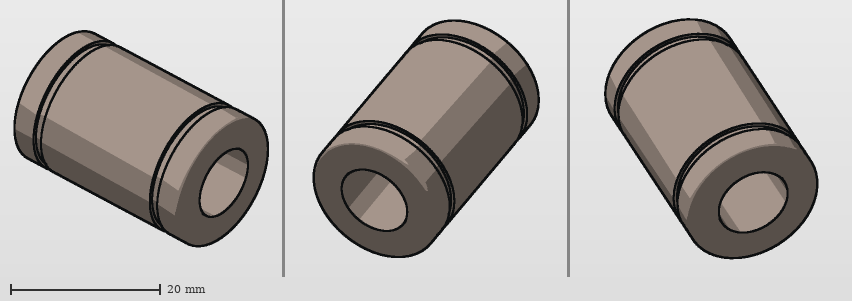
import cadquery as cq

length = 29.0
outer_diameter = 19.0
bore_diameter = 10.0
end_fillet = 0.5

groove_width = 1.3
groove_diameter = 18.0
groove_outer_span = 21.72


def cylinder_along_x(diameter, width, center_x=0):
    """Solid cylinder on the X axis, centred at center_x."""
    start = cq.Workplane("YZ", origin=(center_x - width / 2, 0, 0))
    return start.circle(diameter / 2).extrude(width)


def ring_groove(center_x):
    """Ring of material to remove for one groove."""
    outer = cylinder_along_x(outer_diameter, groove_width, center_x)
    return outer.cut(cylinder_along_x(groove_diameter, groove_width, center_x))


sleeve = cylinder_along_x(outer_diameter, length).edges("%CIRCLE").fillet(end_fillet)

sleeve = sleeve.cut(cylinder_along_x(bore_diameter, length))

groove_offset = (groove_outer_span - groove_width) / 2
for side in (-1, 1):
    sleeve = sleeve.cut(ring_groove(side * groove_offset))

result = sleeve